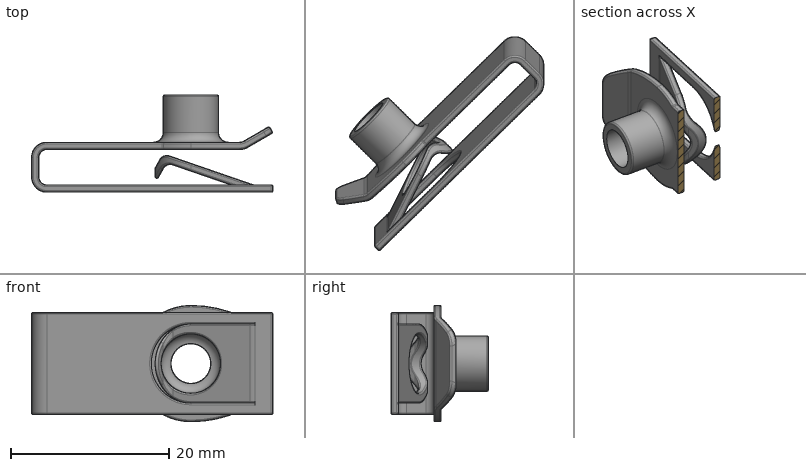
import cadquery as cq
import math


sheet = 0.9
bend_inner = 1.0
bend_outer = bend_inner + sheet
edge_round = 0.2
tolerance = 0.003

length = 30.5
strip_width = 12.9
leg_corner_round = 0.25
fold_height = 6.3

boss_x = 20.13
wing_radius = 7.35
wing_tail_radius = 15.25
wing_root_round = 0.37
flare_start = 26.32
flare_angle = 30.0
flare_straight = 3.72
flare_corner_round = 2.0

boss_top = 12.3
boss_radius = 3.5
bore_radius = 2.5
boss_root_round = 1.22
bore_mouth_round = 1.25

slot_radius = 5.0
tongue_root = 28.2
tongue_angle = 19.0
tongue_nose = 4.5
tongue_hole_radius = 3.75
hook_corner = 17.05
hook_turn = 80.0
hook_length = 3.65


def step(point, angle, distance):
    """Point at a distance from another, along an angle in degrees from +X."""
    x, y = point
    return (x + distance * math.cos(math.radians(angle)), y + distance * math.sin(math.radians(angle)))


def trace_right_face(sketch, point, angle, moves):
    """Draw the right-hand face of a sheet travelling along moves; return sketch, end and heading.

    A move is ("line", distance) or ("bend", turn); a positive turn is to the left.
    """
    for kind, amount in moves:
        if kind == "line":
            point = step(point, angle, amount)
            sketch = sketch.lineTo(*point)
            continue
        toward_centre = angle + math.copysign(90, amount)
        radius = bend_outer if amount > 0 else bend_inner
        centre = step(point, toward_centre, radius)
        middle = step(centre, toward_centre + 180 + amount / 2, radius)
        point = step(centre, toward_centre + 180 + amount, radius)
        sketch = sketch.threePointArc(middle, point)
        angle += amount
    return sketch, point, angle


def bent_sheet(start, angle, moves, width):
    """Sheet that follows moves from start on its right-hand face, centred on Z = 0."""
    back_moves = []
    for kind, amount in reversed(moves):
        back_moves.append((kind, -amount if kind == "bend" else amount))
    sketch = cq.Workplane("XY").moveTo(*start)
    sketch, point, angle = trace_right_face(sketch, start, angle, moves)
    point = step(point, angle + 90, sheet)
    sketch = sketch.lineTo(*point)
    sketch, point, angle = trace_right_face(sketch, point, angle + 180, back_moves)
    return sketch.close().extrude(width / 2, both=True)


def along_y(outline, low, high):
    """Prism from Y = low to Y = high of an outline drawn on the XZ plane."""
    return outline.extrude(low - high).translate((0, low, 0))


def back_leg_outline():
    """Plan of the back leg: strip, round wings beside the boss and tails that narrow to the tip."""
    half_width = strip_width / 2
    wing_start = boss_x - math.sqrt(wing_radius**2 - half_width**2)
    tail_end = length + sheet

    def wing_z(x):
        return math.sqrt(wing_radius**2 - (x - boss_x) ** 2)

    def tail_z(x):
        return wing_radius - wing_tail_radius + math.sqrt(wing_tail_radius**2 - (x - boss_x) ** 2)

    wing_middle = (wing_start + boss_x) / 2
    tail_middle = (boss_x + tail_end) / 2
    return (
        cq.Workplane("XZ")
        .lineTo(0, half_width)
        .lineTo(wing_start, half_width)
        .threePointArc((wing_middle, wing_z(wing_middle)), (boss_x, wing_radius))
        .threePointArc((tail_middle, tail_z(tail_middle)), (tail_end, tail_z(tail_end)))
        .lineTo(tail_end, 0)
        .mirrorX()
    )


def is_wing_root(edge):
    """True for the two edges where the strip meets the wings."""
    return tolerance < edge.Center().x < boss_x - tolerance


def is_flare_corner(edge):
    """True for the two edges through the sheet at the corners of the flared tip."""
    middle = edge.Center()
    return middle.y > fold_height and middle.x > length - sheet and abs(middle.z) > tolerance


def is_across(edge):
    """True for edges that run across the strip."""
    return abs(edge.tangentAt(0.5).z) > 0.3 - tolerance


def is_through_sheet(edge):
    """True for straight edges as long as the sheet is thick."""
    return edge.geomType() == "LINE" and abs(edge.Length() - sheet) < tolerance


def is_strip_rim(edge):
    """True for edges around the rim of the strip, leaving out bend lines and lines through the sheet."""
    if is_across(edge):
        return edge.Center().x > length - sheet
    return not is_through_sheet(edge)


def folded_strip():
    """The U with its winged and flared back leg, all rim edges rounded."""
    fold = fold_height - 2 * bend_outer
    leg = length - bend_outer
    moves = [
        ("line", leg),
        ("bend", -90),
        ("line", fold),
        ("bend", -90),
        ("line", flare_start - bend_outer),
        ("bend", flare_angle),
        ("line", flare_straight),
    ]
    strip = bent_sheet((length, sheet), 180, moves, 2 * wing_radius)
    front = cq.Workplane("XY").box(length, fold_height / 2, strip_width, centered=(False, False, True))
    back = along_y(back_leg_outline(), fold_height / 2, boss_top)
    back = back.edges("|Y").filter(is_wing_root).fillet(wing_root_round)
    strip = strip.intersect(front.union(back)).clean()
    strip = strip.faces(">X").edges("|Y").fillet(leg_corner_round)
    strip = strip.edges().filter(is_flare_corner).fillet(flare_corner_round)
    return strip.edges().filter(is_strip_rim).fillet(edge_round)


def nut_boss():
    """Tube on the back leg with a flared root and a rounded end."""
    seat = fold_height - sheet / 2
    root_radius = boss_radius + boss_root_round
    boss = (
        cq.Workplane("XY")
        .moveTo(bore_radius, seat)
        .lineTo(bore_radius, boss_top)
        .lineTo(boss_radius - edge_round, boss_top)
        .radiusArc((boss_radius, boss_top - edge_round), edge_round)
        .lineTo(boss_radius, fold_height + boss_root_round)
        .radiusArc((root_radius, fold_height), -boss_root_round)
        .lineTo(root_radius, seat)
        .close()
        .revolve(360, (0, 0), (0, 1))
    )
    return boss.translate((boss_x, 0, 0))


def flared_bore():
    """Cutter for the bore and its rounded mouth on the inside of the back leg."""
    inside = fold_height - sheet
    cutter = (
        cq.Workplane("XY")
        .moveTo(0, inside)
        .lineTo(bore_radius + bore_mouth_round, inside)
        .radiusArc((bore_radius, inside + bore_mouth_round), -bore_mouth_round)
        .lineTo(bore_radius, boss_top)
        .lineTo(0, boss_top)
        .close()
        .revolve(360, (0, 0), (0, 1))
    )
    return cutter.translate((boss_x, 0, 0))


def cut_slot(strip):
    """Cut the window that the tongue is lanced from and round its edges."""
    outline = (
        cq.Workplane("XZ")
        .moveTo(tongue_root, slot_radius)
        .lineTo(boss_x, slot_radius)
        .threePointArc((boss_x - slot_radius, 0), (boss_x, -slot_radius))
        .lineTo(tongue_root, -slot_radius)
        .close()
    )
    strip = strip.cut(along_y(outline, 0, sheet))
    around_slot = cq.selectors.BoxSelector(
        (boss_x - slot_radius - 0.3, -0.3, -slot_radius - 0.3),
        (tongue_root - 0.3, sheet + 0.3, slot_radius + 0.3),
    )
    return strip.edges(around_slot).edges("not |Y").fillet(edge_round)


def mitred(point, angle, turn):
    """Corner on the right-hand face of a sharp bend, from its corner on the left-hand face."""
    return step(point, angle + turn / 2 - 90, sheet / math.cos(math.radians(turn / 2)))


def round_bend(blade, corner, radius):
    """Round the bend line that passes through a corner of the blade's outline."""
    return blade.edges(cq.NearestToPointSelector((*corner, 0))).fillet(radius)


def tongue_blade():
    """Tongue and hook at full width, with a stub at the root that lies inside the front leg."""
    rise = 180 - tongue_angle
    fall = rise + hook_turn
    stub_end = tongue_root + sheet
    root_under = (tongue_root - bend_outer * math.tan(math.radians(tongue_angle / 2)), 0)
    root_over = mitred(root_under, 180, -tongue_angle)
    run = (root_under[0] - hook_corner) / math.cos(math.radians(tongue_angle))
    hook_under = step(root_under, rise, run)
    hook_over = mitred(hook_under, rise, hook_turn)
    tip_under = step(hook_under, fall, hook_length)
    tip_over = step(tip_under, fall - 90, sheet)
    blade = (
        cq.Workplane("XY")
        .moveTo(stub_end, 0)
        .lineTo(*root_under)
        .lineTo(*hook_under)
        .lineTo(*tip_under)
        .lineTo(*tip_over)
        .lineTo(*hook_over)
        .lineTo(*root_over)
        .lineTo(stub_end, sheet)
        .close()
        .extrude(slot_radius, both=True)
    )
    blade = round_bend(blade, root_under, bend_outer)
    blade = round_bend(blade, root_over, bend_inner)
    blade = round_bend(blade, hook_under, bend_inner)
    return round_bend(blade, hook_over, bend_inner)


def tongue():
    """Blade trimmed to a rounded nose, with a clearance hole below the boss and rounded edges."""
    straight = cq.Workplane("XY").box(
        length - boss_x, fold_height, 2 * slot_radius, centered=(False, False, True)
    )
    plan = cq.Workplane("XZ", origin=(boss_x, 0, 0))
    nose = along_y(plan.ellipse(tongue_nose, slot_radius), 0, fold_height)
    hole = along_y(plan.circle(tongue_hole_radius), 0, fold_height)
    footprint = straight.translate((boss_x, 0, 0)).union(nose)
    trimmed = tongue_blade().intersect(footprint).cut(hole)
    return trimmed.edges("not(|Y or |Z)").fillet(edge_round)


clip = cut_slot(folded_strip())
result = clip.union(nut_boss()).cut(flared_bore()).union(tongue())